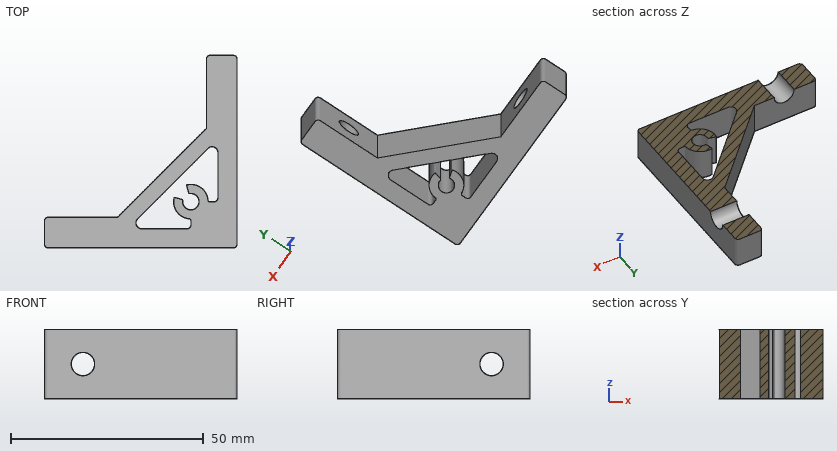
import cadquery as cq
import math

leg_length = 50.0
leg_thickness = 8.0
height = 18.0
outer_corner_radius = 1.0

brace_reach = 31.0
brace_thickness = 4.0

window_wall = 5.0
window_tip_radius = 1.5
window_corner_radius = 1.0

clip_offset = 12.0
clip_outer_radius = 4.5
clip_bore_radius = 2.1
clip_opening_angle = 60.0
clip_tip_radius = 0.2
clip_lip_radius = 0.4
clip_root_radius = 0.4

screw_hole_diameter = 6.0
screw_hole_from_end = 10.0

brace_outer_sum = brace_reach + leg_thickness
brace_inner_sum = brace_outer_sum - brace_thickness * math.sqrt(2)
window_reach = brace_inner_sum - window_wall
clip_center = (-clip_offset, clip_offset)


def round_vertical_edges(body, points, radius):
    """Fillet the vertical edges that pass through the given XY points."""
    for x, y in points:
        edge = cq.selectors.NearestToPointSelector((x, y, height / 2))
        body = body.edges("|Z").edges(edge).fillet(radius)
    return body


def make_bracket_body():
    """Solid L-bracket with the corner between the legs filled up to the brace."""
    outer_corners = [
        (0, 0),
        (0, leg_length),
        (-leg_thickness, leg_length),
        (-leg_length, leg_thickness),
        (-leg_length, 0),
    ]
    outline = outer_corners[:3] + [
        (-leg_thickness, brace_reach),
        (-brace_reach, leg_thickness),
    ] + outer_corners[3:]
    body = cq.Workplane("XY").polyline(outline).close().extrude(height)
    return round_vertical_edges(body, outer_corners, outer_corner_radius)


def clip_point(radius, angle):
    """Point at a polar position about the clip centre; the angle is in degrees from +X."""
    turn = math.radians(angle)
    return (clip_center[0] + radius * math.cos(turn), clip_center[1] + radius * math.sin(turn))


def make_clip():
    """Solid ring with a radial-sided opening that faces the brace."""
    brace_direction = 135.0
    start = brace_direction + clip_opening_angle / 2
    end = start + 360.0 - clip_opening_angle
    middle = (start + end) / 2
    clip = (
        cq.Workplane("XY")
        .moveTo(*clip_point(clip_bore_radius, start))
        .lineTo(*clip_point(clip_outer_radius, start))
        .threePointArc(clip_point(clip_outer_radius, middle), clip_point(clip_outer_radius, end))
        .lineTo(*clip_point(clip_bore_radius, end))
        .threePointArc(clip_point(clip_bore_radius, middle), clip_point(clip_bore_radius, start))
        .close()
        .extrude(height)
    )
    tips = [clip_point(clip_outer_radius, angle) for angle in (start, end)]
    clip = round_vertical_edges(clip, tips, clip_tip_radius)
    lips = [clip_point(clip_bore_radius, angle) for angle in (start, end)]
    return round_vertical_edges(clip, lips, clip_lip_radius)


def make_window():
    """Void of the window: a triangle less the corner block and the clip, plus the clip bore."""
    tips = [(-window_reach, window_wall), (-window_wall, window_reach)]
    triangle = (
        cq.Workplane("XY")
        .polyline([(-window_wall, window_wall)] + tips)
        .close()
        .extrude(height)
    )
    triangle = round_vertical_edges(triangle, tips, window_tip_radius)
    block = cq.Workplane("XY").rect(2 * clip_offset, 2 * clip_offset).extrude(height)
    bore = cq.Workplane("XY").center(*clip_center).circle(clip_bore_radius).extrude(height)
    window = triangle.cut(block).union(bore).cut(make_clip())

    block_corners = [(-clip_offset, window_wall), (-window_wall, clip_offset)]
    window = round_vertical_edges(window, block_corners, window_corner_radius)
    clip_reach = clip_offset - clip_outer_radius
    clip_roots = [(-clip_offset, clip_reach), (-clip_reach, clip_offset)]
    return round_vertical_edges(window, clip_roots, clip_root_radius)


def make_screw_holes():
    """Cylinders that pass through the middle of each leg near its free end."""
    hole_place = leg_length - screw_hole_from_end
    radius = screw_hole_diameter / 2
    x_leg_start = cq.Vector(-hole_place, 0, height / 2)
    y_leg_start = cq.Vector(0, hole_place, height / 2)
    x_leg_hole = cq.Solid.makeCylinder(radius, leg_thickness, x_leg_start, cq.Vector(0, 1, 0))
    y_leg_hole = cq.Solid.makeCylinder(radius, leg_thickness, y_leg_start, cq.Vector(-1, 0, 0))
    return cq.Workplane("XY").add(x_leg_hole).add(y_leg_hole).combine()


result = make_bracket_body().cut(make_window()).cut(make_screw_holes())